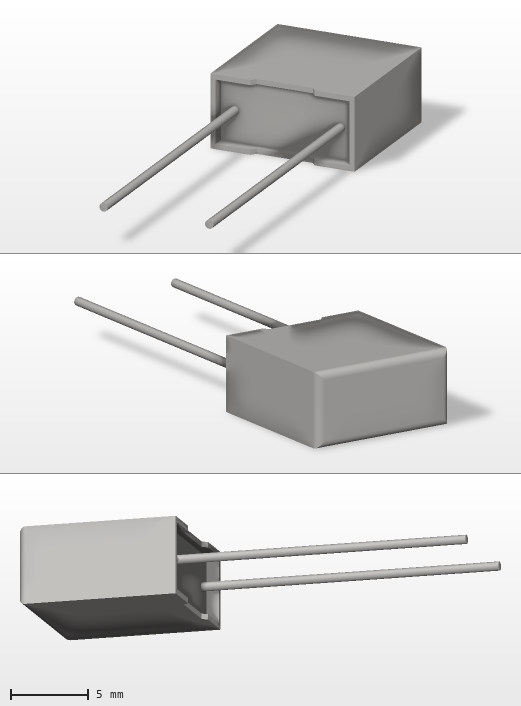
import cadquery as cq

OVERALL_LENGTH = 29.6
CASE_WIDTH = 10.2
CASE_HEIGHT = 5.12
CASE_DEPTH = 10.55
WALL = 0.35
BACK_EDGE_RADIUS = 0.5

NOTCH_DEPTH = 0.35
NOTCH_RIM_WIDTH = 4.55
NOTCH_FLOOR_WIDTH = 4.0

FILL_RECESS = 0.83

LEAD_DIAMETER = 0.6
LEAD_PITCH = 7.5

cavity_width = CASE_WIDTH - 2 * WALL
cavity_height = CASE_HEIGHT - 2 * WALL
cavity_depth = CASE_DEPTH - WALL
fill_depth = cavity_depth - FILL_RECESS
lead_tip_y = CASE_DEPTH - OVERALL_LENGTH
lead_length = FILL_RECESS - lead_tip_y


def block(width, depth, height, front_y):
    """Box centred in X and Z that extends in +Y from front_y."""
    body = cq.Workplane("XY").box(width, depth, height, centered=(True, False, True))
    return body.translate((0, front_y, 0))


def make_notch_cutter():
    """Trapezoid through both long walls, narrowing inward from the rim."""
    outline = [
        (-NOTCH_RIM_WIDTH / 2, 0),
        (NOTCH_RIM_WIDTH / 2, 0),
        (NOTCH_FLOOR_WIDTH / 2, NOTCH_DEPTH),
        (-NOTCH_FLOOR_WIDTH / 2, NOTCH_DEPTH),
    ]
    return cq.Workplane("XY").polyline(outline).close().extrude(CASE_HEIGHT / 2, both=True)


def make_case():
    """Case with a closed, rounded back and a notched open rim."""
    shell = block(CASE_WIDTH, CASE_DEPTH, CASE_HEIGHT, 0)
    shell = shell.faces(">Y").edges().fillet(BACK_EDGE_RADIUS)
    cavity = block(cavity_width, cavity_depth, cavity_height, 0)
    return shell.cut(cavity).cut(make_notch_cutter())


def make_fill():
    """Potting that fills the cavity up to its recessed surface."""
    return block(cavity_width, fill_depth, cavity_height, FILL_RECESS)


def make_lead(x):
    """Round wire from the potting surface to the free tip."""
    wire = cq.Workplane("XZ").circle(LEAD_DIAMETER / 2).extrude(lead_length)
    return wire.translate((x, FILL_RECESS, 0))


case = make_case()
fill = make_fill()
leads = [make_lead(side * LEAD_PITCH / 2) for side in (-1, 1)]

result = cq.Compound.makeCompound([case.val(), fill.val(), *[lead.val() for lead in leads]])